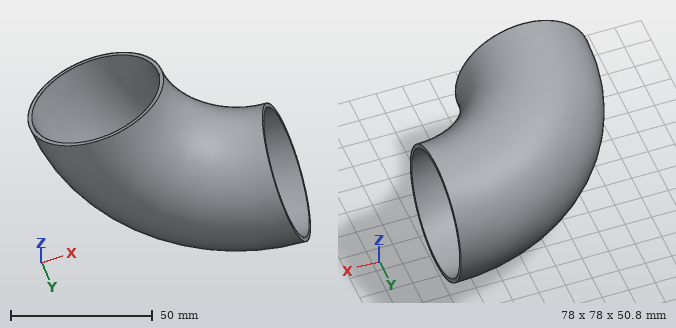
import cadquery as cq

overall_length = 78.0
outer_diameter = 50.8
wall_thickness = 1.5
bend_angle = 90.0

outer_radius = outer_diameter / 2
inner_radius = outer_radius - wall_thickness
bend_radius = overall_length - outer_radius

result = (
    cq.Workplane("XZ")
    .center(-bend_radius, 0)
    .circle(outer_radius)
    .circle(inner_radius)
    .revolve(bend_angle, (bend_radius, 0), (bend_radius, -1))
)